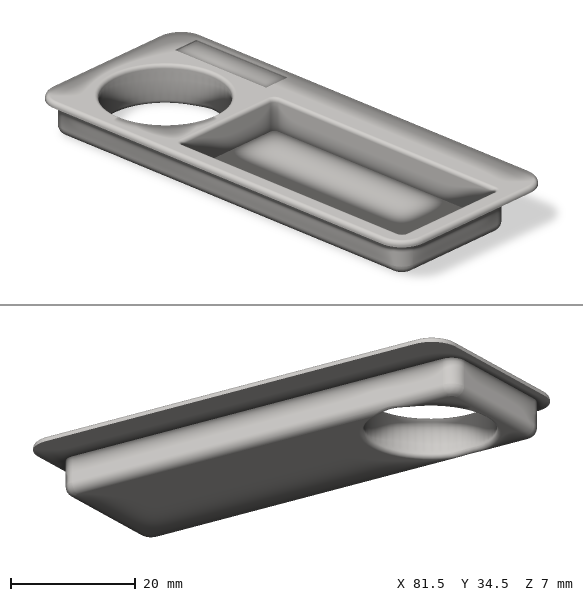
import cadquery as cq

flange_length = 81.5
flange_width = 34.5
flange_thickness = 1.0
flange_corner_radius = 4.65
rim_radius = 0.7

total_height = 7.0
body_depth = total_height - flange_thickness
body_length = 77.3
body_width = 24.7
body_center_y = -2.8
body_corner_radius = 2.45
body_bottom_radius = 1.55

wall = 1.2
pocket_length = 49.1
pocket_width = body_width - 2 * wall
pocket_center_x = body_length / 2 - wall - pocket_length / 2
pocket_depth = total_height - wall
pocket_corner_radius = 0.8

hole_diameter = 21.5
hole_center_x = -25.2

mouth_radius = 0.65

label_length = 20.05
label_width = 5.05
label_center_x = -25.1
label_center_y = 12.6
label_depth = 0.25


def rounded_block(length, width, height, corner_radius, center, bottom_z):
    """Upright block with rounded vertical edges."""
    block = cq.Workplane("XY").box(length, width, height, centered=(True, True, False))
    return block.edges("|Z").fillet(corner_radius).translate((*center, bottom_z))


def make_flange():
    flange = rounded_block(
        flange_length, flange_width, flange_thickness, flange_corner_radius, (0, 0), 0
    )
    return flange.faces(">Z").edges().fillet(rim_radius)


def make_body():
    body = rounded_block(
        body_length, body_width, body_depth, body_corner_radius, (0, body_center_y), -body_depth
    )
    return body.faces("<Z").edges().fillet(body_bottom_radius)


def make_pocket_cutter():
    return rounded_block(
        pocket_length,
        pocket_width,
        pocket_depth,
        pocket_corner_radius,
        (pocket_center_x, body_center_y),
        flange_thickness - pocket_depth,
    )


def make_hole_cutter():
    cylinder = cq.Workplane("XY").circle(hole_diameter / 2).extrude(total_height)
    return cylinder.translate((hole_center_x, body_center_y, -body_depth))


def make_label_cutter():
    label = cq.Workplane("XY").box(
        label_length, label_width, label_depth, centered=(True, True, False)
    )
    return label.translate((label_center_x, label_center_y, flange_thickness - label_depth))


def round_openings(part, face_selector):
    """Round the edges of every opening in a face, which are the inner wires of that face."""
    face = part.faces(face_selector).val()
    edges = [edge for wire in face.innerWires() for edge in wire.Edges()]
    return part.newObject(edges).fillet(mouth_radius)


part = make_flange().union(make_body())
part = part.cut(make_pocket_cutter()).cut(make_hole_cutter())
part = round_openings(part, ">Z")
part = round_openings(part, "<Z")
result = part.cut(make_label_cutter())